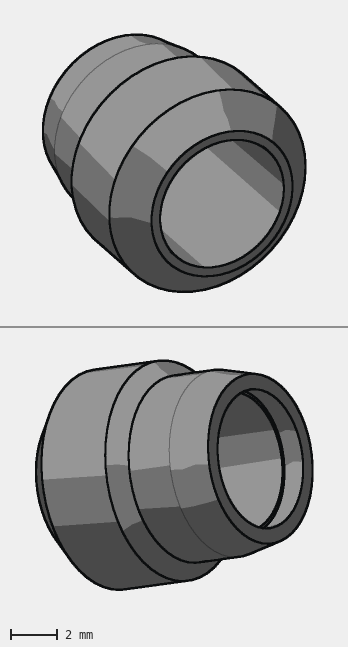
import cadquery as cq

length = 9.5
body_radius = 4.75

neck_radius = 4.04
tip_radius = 3.66
taper_length = 1.805

shoulder_start = 4.0
shoulder_length = body_radius - neck_radius
end_chamfer = 1.34

bore_radius = 2.99
mouth_depth = 1.12
step_height = 0.14

half_profile = [
    (0, bore_radius),
    (0, tip_radius),
    (taper_length, neck_radius),
    (shoulder_start, neck_radius),
    (shoulder_start + shoulder_length, body_radius),
    (length - end_chamfer, body_radius),
    (length, body_radius - end_chamfer),
    (length, bore_radius),
    (mouth_depth, bore_radius),
    (mouth_depth, bore_radius + step_height),
]

result = cq.Workplane("XY").polyline(half_profile).close().revolve(360, (0, 0, 0), (1, 0, 0))